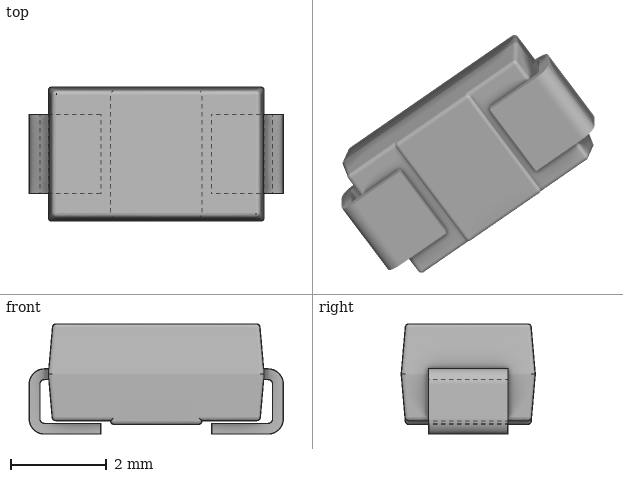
import cadquery as cq
import math

overall_length = 5.3
overall_height = 2.3

housing_length = 4.5
housing_width = 2.8
housing_bottom = 0.2
draft_angle = 5.0
edge_radius = 0.08
parting_height = (overall_height + housing_bottom) / 2

pad_length = 1.91
pad_depth = 0.08
pad_top_overlap = 0.265

lead_width = 1.65
lead_thickness = 0.23
lead_outer_radius = 0.325
lead_inner_radius = lead_outer_radius - lead_thickness
foot_length = 1.495
lead_top = parting_height + lead_thickness / 2


def tapered_half(end_height):
    """Half of the housing from the parting plane to end_height, narrowing at the draft angle."""
    distance = end_height - parting_height
    inset = 2 * abs(distance) * math.tan(math.radians(draft_angle))
    return (
        cq.Workplane("XY", origin=(0, 0, parting_height))
        .rect(housing_length, housing_width)
        .workplane(offset=distance)
        .rect(housing_length - inset, housing_width - inset)
        .loft(ruled=True)
    )


def make_main_shell():
    """Both tapered halves, with rounded corners, top rim and bottom rim."""
    shell = tapered_half(overall_height).union(tapered_half(housing_bottom + pad_depth))
    shell = shell.edges("not #Z").fillet(edge_radius)
    return shell.faces("<Z or >Z").edges().fillet(edge_radius)


def make_pad():
    """Middle slice of the full-depth lower half, with rounded corners and bottom rim."""
    slice_height = pad_depth + pad_top_overlap
    pad_slice = cq.Workplane("XY", origin=(0, 0, housing_bottom)).box(
        pad_length, housing_width, slice_height, centered=(True, True, False)
    )
    pad = tapered_half(housing_bottom).intersect(pad_slice)
    pad = pad.edges("not #Z").fillet(edge_radius)
    return pad.faces("<Z").edges().fillet(edge_radius)


def make_housing():
    return make_main_shell().union(make_pad())


def make_lead(side, housing):
    """C-shaped strip at the -X (side = -1) or +X (side = 1) end, trimmed flush to the housing."""
    outer_x = overall_length / 2
    inner_x = outer_x - lead_thickness
    foot_x = outer_x - foot_length
    root_x = housing_length / 2 - lead_thickness
    outline = (
        cq.Workplane("XZ")
        .moveTo(foot_x, 0)
        .lineTo(outer_x - lead_outer_radius, 0)
        .radiusArc((outer_x, lead_outer_radius), -lead_outer_radius)
        .lineTo(outer_x, lead_top - lead_outer_radius)
        .radiusArc((outer_x - lead_outer_radius, lead_top), -lead_outer_radius)
        .lineTo(root_x, lead_top)
        .lineTo(root_x, lead_top - lead_thickness)
        .lineTo(inner_x - lead_inner_radius, lead_top - lead_thickness)
        .radiusArc((inner_x, lead_top - lead_outer_radius), lead_inner_radius)
        .lineTo(inner_x, lead_outer_radius)
        .radiusArc((inner_x - lead_inner_radius, lead_thickness), lead_inner_radius)
        .lineTo(foot_x, lead_thickness)
        .close()
    )
    lead = outline.extrude(lead_width / 2, both=True)
    if side < 0:
        lead = lead.mirror("YZ")
    return lead.cut(housing)


housing = make_housing()
leads = [make_lead(side, housing) for side in (-1, 1)]

result = cq.Compound.makeCompound([housing.solids().val(), *[lead.solids().val() for lead in leads]])